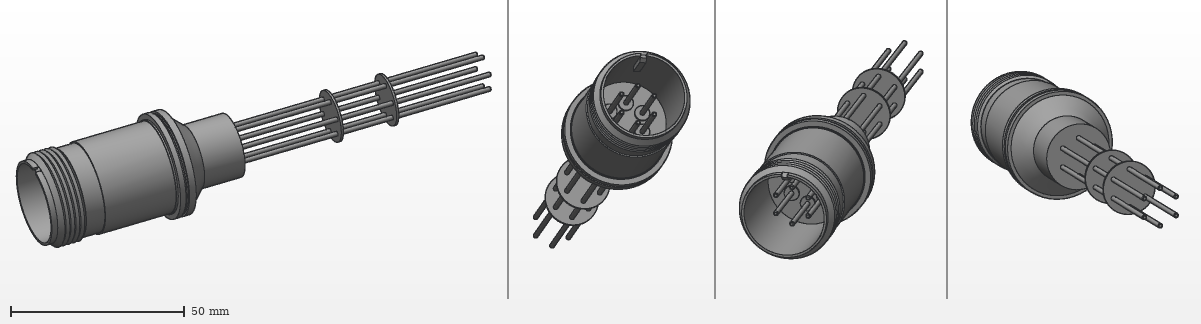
import cadquery as cq
import math

overall_length = 142.1

rim_radius = 12.6
bore_radius = 12.0
bore_depth = 28.4
rim_length = 1.8
neck_radius = 13.5
neck_start = 10.5
barrel_radius = 13.9
barrel_start = 16.3
barrel_end = 38.7

thread_radius = 14.2
thread_root_radius = 13.4
thread_pitch = 1.5
thread_count = 5
first_crest = rim_length + thread_radius - rim_radius

flange_radius = 15.85
flange_start = 39.2
flange_end = 44.2
shoulder_radius = 14.2
groove_radius = 14.9
groove_step_radius = 15.2
groove_step_start = 41.6
groove_start = 40.9
groove_end = 42.0

cone_radius = 14.8
collar_radius = 9.7
collar_start = 49.6
collar_end = 62.4

key_width = 1.8
key_inner_radius = 10.4
nose_radius = 11.5
nose_start = rim_length - (rim_radius - nose_radius)
nose_back = nose_start + (nose_radius - key_inner_radius)
key_length = 11.4

contact_count = 6
contact_circle_radius = 5.5
pin_radius = 0.7
pin_tip = 9.1
socket_diameter = 4.4
socket_height = 0.7
wire_radius = 0.7
wire_embedding = 1.4
tip_chamfer = 0.3

spacer_radius = 7.8
spacer_thickness = 0.7
spacer_centers = (94.0, 111.4)


def cylinder(radius, start, end, x=0.0, z=0.0):
    """Solid cylinder along Y between two stations."""
    return cq.Workplane("XZ", origin=(x, start, z)).circle(radius).extrude(start - end)


def shell():
    """Body of revolution with the thread rings, then the bore."""
    outline = [(0, 0), (rim_radius, 0), (rim_radius, rim_length)]
    for ring in range(thread_count):
        crest = first_crest + ring * thread_pitch
        outline.append((thread_radius, crest))
        outline.append((thread_root_radius, crest + thread_pitch / 2))
    outline += [
        (neck_radius, neck_start),
        (neck_radius, barrel_start),
        (barrel_radius, barrel_start),
        (barrel_radius, barrel_end),
        (shoulder_radius, barrel_end),
        (shoulder_radius, flange_start),
        (flange_radius, flange_start),
        (flange_radius, groove_start),
        (groove_radius, groove_start),
        (groove_radius, groove_step_start),
        (groove_step_radius, groove_step_start),
        (groove_step_radius, groove_end),
        (flange_radius, groove_end),
        (flange_radius, flange_end),
        (cone_radius, flange_end),
        (collar_radius, collar_start),
        (collar_radius, collar_end),
        (0, collar_end),
    ]
    body = cq.Workplane("XY").polyline(outline).close().revolve(360, (0, 0), (0, 1))
    return body.cut(cylinder(bore_radius, 0, bore_depth))


def key_prism(profile):
    """Prism of key width, centred on X = 0, from (Y, Z) points."""
    return cq.Workplane("YZ").polyline(profile).close().extrude(key_width / 2, both=True)


def add_key(body):
    """Open the rim above the key, then add the key; both faces of its nose slope at 45 degrees."""
    slot = key_prism([(0, key_inner_radius), (0, thread_radius),
                      (rim_length, rim_radius), (rim_length, key_inner_radius)])
    key = key_prism([(nose_start, nose_radius), (rim_length, rim_radius), (key_length, rim_radius),
                     (key_length, key_inner_radius), (nose_back, key_inner_radius)])
    return body.cut(slot).union(key)


def add_contacts(body):
    """Raised insulators, pins and wires on the contact circle."""
    for index in range(contact_count):
        angle = math.radians(90 + index * 360 / contact_count)
        x = contact_circle_radius * math.cos(angle)
        z = contact_circle_radius * math.sin(angle)
        body = body.union(cylinder(socket_diameter / 2, bore_depth - socket_height, bore_depth, x, z))
        pin = cylinder(pin_radius, pin_tip, bore_depth, x, z).faces("<Y").chamfer(tip_chamfer)
        wire = cylinder(wire_radius, collar_end - wire_embedding, overall_length, x, z)
        body = body.union(pin).union(wire.faces(">Y").chamfer(tip_chamfer))
    return body


def add_spacers(body):
    """Thin discs threaded on the wires."""
    for center in spacer_centers:
        start = center - spacer_thickness / 2
        body = body.union(cylinder(spacer_radius, start, start + spacer_thickness))
    return body


result = add_spacers(add_contacts(add_key(shell())))